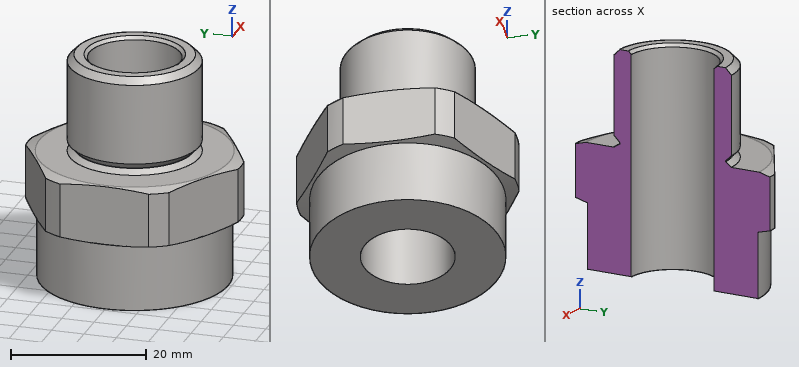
import cadquery as cq
import math

total_height = 35.0
socket_diameter = 29.0
socket_height = 10.3
hex_top = 19.7

across_flats = 30.0
hex_corner_diameter = 33.0
hex_face_diameter = 29.4
hex_chamfer_angle = 15.0

spigot_diameter = 20.0
neck_diameter = 17.95
neck_bottom = 20.4
neck_top = 20.48
spigot_chamfer = (spigot_diameter - neck_diameter) / 2

bore_diameter = 14.0
bore_mouth_diameter = 14.98


def revolve_profile(points):
    """Revolve a closed (radius, height) outline about the Z axis."""
    return cq.Workplane("XZ").polyline(points).close().revolve(360, (0, 0), (0, 1))


def make_hexagon():
    """Hexagon with flats facing +X and -X, corners rounded and chamfered.

    The lower chamfer runs straight into the socket wall.
    """
    height = hex_top - socket_height
    across_corners = across_flats / math.cos(math.radians(30))
    prism = (
        cq.Workplane("XY")
        .workplane(offset=socket_height)
        .transformed(rotate=(0, 0, 30))
        .polygon(6, across_corners)
        .extrude(height)
    )
    socket_radius = socket_diameter / 2
    face_radius = hex_face_diameter / 2
    corner_radius = hex_corner_diameter / 2
    chamfer_slope = math.tan(math.radians(hex_chamfer_angle))
    lower_chamfer_height = (corner_radius - socket_radius) * chamfer_slope
    upper_chamfer_height = (corner_radius - face_radius) * chamfer_slope
    envelope = revolve_profile([
        (0, socket_height),
        (socket_radius, socket_height),
        (corner_radius, socket_height + lower_chamfer_height),
        (corner_radius, hex_top - upper_chamfer_height),
        (face_radius, hex_top),
        (0, hex_top),
    ])
    return prism.intersect(envelope)


def make_spigot():
    """Spigot with chamfered ends and a conical flare onto the hexagon."""
    spigot_radius = spigot_diameter / 2
    neck_radius = neck_diameter / 2
    return revolve_profile([
        (0, hex_top),
        (spigot_radius, hex_top),
        (neck_radius, neck_bottom),
        (neck_radius, neck_top),
        (spigot_radius, neck_top + spigot_chamfer),
        (spigot_radius, total_height - spigot_chamfer),
        (spigot_radius - spigot_chamfer, total_height),
        (0, total_height),
    ])


def make_bore():
    """Through bore with a 45 degree countersink at the spigot end."""
    bore_radius = bore_diameter / 2
    mouth_radius = bore_mouth_diameter / 2
    return revolve_profile([
        (0, 0),
        (bore_radius, 0),
        (bore_radius, total_height - (mouth_radius - bore_radius)),
        (mouth_radius, total_height),
        (0, total_height),
    ])


socket = cq.Workplane("XY").circle(socket_diameter / 2).extrude(socket_height)
result = socket.union(make_hexagon()).union(make_spigot()).cut(make_bore())